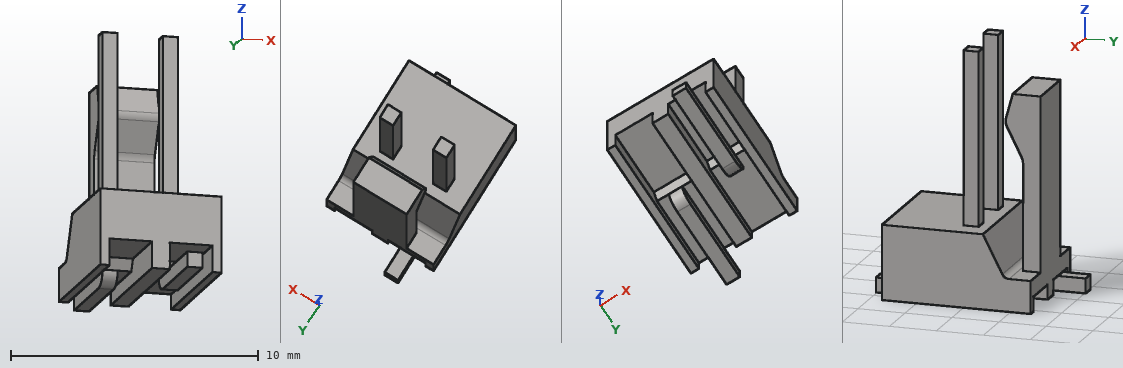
import cadquery as cq

pitch = 2.53
pin_size = 0.63
pin_heel_radius = 0.62

body_width = 5.08
body_depth = 6.33
body_height = 3.17
shelf_height = 1.39
shelf_depth = 1.12
ramp_top_depth = 2.03
ramp_fillet = 0.32

channel_width = 1.78
channel_height = pin_size
channel_mouth_height = 1.11
channel_slope_depth = 0.24

latch_width = pitch
latch_thickness = 0.75
latch_height = 8.8
hook_top_depth = 1.19
hook_tip_depth = 1.53
hook_tip_height = 7.58
hook_start_height = 6.04
hook_tip_radius = 0.48
hook_start_radius = 0.72

pin_height = 10.54
pin_back_face = 2.54
back_tail_overhang = 1.18
front_tail_overhang = 0.57
pin_front_face = pin_back_face + pin_size


def extrude_profile(points, width, x_center=0.0):
    """Extrude an outline of (Y, Z) points along X, centred on x_center."""
    profile = cq.Workplane("YZ", origin=(x_center, 0, 0)).polyline(points).close()
    return profile.extrude(width / 2, both=True)


def fillet_edge_at(solid, y, z, radius):
    """Round the edge parallel to X that passes through (y, z)."""
    reach = 0.01
    half_width = body_width
    edge_box = cq.selectors.BoxSelector(
        (-half_width, y - reach, z - reach), (half_width, y + reach, z + reach)
    )
    return solid.edges(edge_box).fillet(radius)


def make_housing():
    housing = extrude_profile(
        [
            (0, 0),
            (-body_depth, 0),
            (-body_depth, body_height),
            (-ramp_top_depth, body_height),
            (-shelf_depth, shelf_height),
            (0, shelf_height),
        ],
        body_width,
    )
    return fillet_edge_at(housing, -shelf_depth, shelf_height, ramp_fillet)


def make_channel(x_center):
    """Full-depth channel, taller in front of the pins, with a steep slope down to the tail height."""
    return extrude_profile(
        [
            (0, 0),
            (-body_depth, 0),
            (-body_depth, channel_mouth_height),
            (-pin_front_face - channel_slope_depth, channel_mouth_height),
            (-pin_front_face, channel_height),
            (0, channel_height),
        ],
        channel_width,
        x_center,
    )


def make_latch():
    latch = extrude_profile(
        [
            (0, shelf_height),
            (-latch_thickness, shelf_height),
            (-latch_thickness, hook_start_height),
            (-hook_tip_depth, hook_tip_height),
            (-hook_top_depth, latch_height),
            (0, latch_height),
        ],
        latch_width,
    )
    latch = fillet_edge_at(latch, -latch_thickness, hook_start_height, hook_start_radius)
    return fillet_edge_at(latch, -hook_tip_depth, hook_tip_height, hook_tip_radius)


def make_pin(x_center, bend_y, tail_end_y):
    """L-shaped pin with a rounded heel at bend_y and a tail ending at tail_end_y."""
    pin = extrude_profile(
        [
            (-pin_front_face, 0),
            (-pin_back_face, 0),
            (-pin_back_face, pin_height),
            (-pin_front_face, pin_height),
        ],
        pin_size,
        x_center,
    )
    tail = extrude_profile(
        [(bend_y, 0), (tail_end_y, 0), (tail_end_y, pin_size), (bend_y, pin_size)],
        pin_size,
        x_center,
    )
    return fillet_edge_at(pin.union(tail), bend_y, 0, pin_heel_radius)


result = make_housing().union(make_latch())
for pin_x in (-pitch / 2, pitch / 2):
    result = result.cut(make_channel(pin_x))
result = result.union(make_pin(-pitch / 2, -pin_front_face, back_tail_overhang))
result = result.union(make_pin(pitch / 2, -pin_back_face, -body_depth - front_tail_overhang))